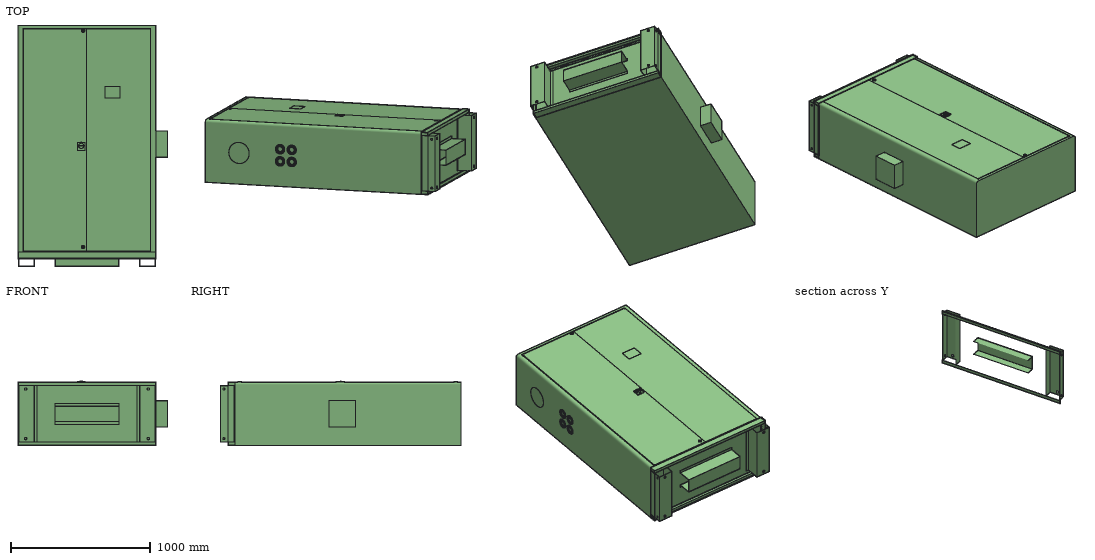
import cadquery as cq


TOTAL_LENGTH = 1727.0
CABINET_WIDTH = 990.0
CABINET_DEPTH = 456.0
FOOT_HEIGHT = 54.0
BASE_HEIGHT = 50.0
HOUSING_Y = FOOT_HEIGHT + BASE_HEIGHT
HALF_WIDTH = CABINET_WIDTH / 2
MID_Z = CABINET_DEPTH / 2
EDGE_RADIUS = 20.0

DOOR_THICKNESS = 20.0
DOOR_GAP = 5.0
LEFT_MARGIN = 35.0
RIGHT_MARGIN = 40.0
TOP_MARGIN = 20.0
OPENING_LEFT = -HALF_WIDTH + LEFT_MARGIN
OPENING_RIGHT = HALF_WIDTH - RIGHT_MARGIN
OPENING_BOTTOM = HOUSING_Y
OPENING_TOP = TOTAL_LENGTH - TOP_MARGIN
DOOR_SPLIT = -2.0
DOOR_LEFT = OPENING_LEFT + DOOR_GAP
DOOR_BOTTOM = OPENING_BOTTOM + DOOR_GAP
DOOR_TOP = OPENING_TOP - DOOR_GAP
DOOR_FLOOR_Z = CABINET_DEPTH - DOOR_THICKNESS

LOCK_X = -28.0
LOCK_END_DISTANCE = 30.0
LOCK_DIAMETER = 25.0
LOCK_HOLE_DIAMETER = 10.0
FITTING_HEIGHT = 3.0
LATCH_X = -41.0
LATCH_Y = 858.0
LATCH_SIZE = 55.0
LATCH_DISC_OFFSET = 5.0
LATCH_DISC_DIAMETER = 52.0
LATCH_DISH_DIAMETER = 38.0
LATCH_DISH_DEPTH = 2.0
LATCH_BAR_WIDTH = 5.0
LATCH_KNOB_LENGTH = 17.0
LATCH_KNOB_HEIGHT = 7.0

WINDOW_WIDTH = 105.0
WINDOW_LENGTH = 83.0
WINDOW_X = 183.0
WINDOW_Y = 1249.0

PANEL_RECESS = 2.0

ENTRY_PITCH = 88.0
ENTRY_Y = 1121.0
ENTRY_DIAMETER = 69.0
ENTRY_STEP_DIAMETER = 55.0
ENTRY_PLUG_DIAMETER = 38.0
ENTRY_STEP_DEPTH = 3.0
ENTRY_GROOVE_DEPTH = 7.0
ROUND_PANEL_DIAMETER = 154.0
ROUND_PANEL_Y = 1473.0

RAIL_DEPTH = 26.0
RAIL_SHEET = 5.0
RAIL_LIP_ROUND = 3.0
END_RECESS = 2.0
FOOT_INSET = 5.0
FOOT_LENGTH = CABINET_DEPTH - 2 * RAIL_DEPTH

SHEET = 2.0

FOOT_WIDTH = 112.0
FOOT_LIP = 19.0
FOOT_OUTER_X = HALF_WIDTH - FOOT_INSET
FOOT_HOLE_DIAMETER = 17.0
FOOT_HOLE_END_DISTANCE = 25.0
FOOT_FRONT_HOLE_INSET = 55.0
FOOT_SIDE_HOLE_DIAMETER = 14.0
FOOT_SIDE_HOLE_Y = 26.0

BRACKET_LENGTH = 458.0
BRACKET_DEPTH = 150.0
BRACKET_FLANGE = 19.0

BOX_WIDTH = 83.0
BOX_SIZE = 190.0
BOX_Y = 875.0


def block(x_range, y_range, z_range):
    """A box between the given pairs of limits."""
    size = [high - low for low, high in (x_range, y_range, z_range)]
    return cq.Workplane("XY").box(*size, centered=False).translate((x_range[0], y_range[0], z_range[0]))


def left_wall_disc(diameter, y, z, depth):
    """A disc that goes from the left side wall into the cabinet."""
    wall = cq.Workplane("YZ", origin=(-HALF_WIDTH, y, z))
    return wall.circle(diameter / 2).extrude(depth)


def cable_entry(y, z):
    """A stepped ring-shaped recess around a plug flush with the wall."""
    step = left_wall_disc(ENTRY_DIAMETER, y, z, ENTRY_STEP_DEPTH)
    groove = left_wall_disc(ENTRY_STEP_DIAMETER, y, z, ENTRY_GROOVE_DEPTH)
    plug = left_wall_disc(ENTRY_PLUG_DIAMETER, y, z, ENTRY_GROOVE_DEPTH)
    return step.union(groove).cut(plug)


def make_housing():
    body = block((-HALF_WIDTH, HALF_WIDTH), (HOUSING_Y, TOTAL_LENGTH), (0, CABINET_DEPTH))
    body = body.edges("|Y and >Z").fillet(EDGE_RADIUS)
    body = body.cut(
        block((OPENING_LEFT, OPENING_RIGHT), (OPENING_BOTTOM, OPENING_TOP), (DOOR_FLOOR_Z, CABINET_DEPTH))
    )
    for y_side in (-1, 1):
        for z_side in (-1, 1):
            entry_y = ENTRY_Y + y_side * ENTRY_PITCH / 2
            entry_z = MID_Z + z_side * ENTRY_PITCH / 2
            body = body.cut(cable_entry(entry_y, entry_z))
    return body.cut(left_wall_disc(ROUND_PANEL_DIAMETER, ROUND_PANEL_Y, MID_Z, PANEL_RECESS))


def door_plate(x_left, x_right):
    return block((x_left, x_right), (DOOR_BOTTOM, DOOR_TOP), (DOOR_FLOOR_Z, CABINET_DEPTH))


def door_face(x, y):
    """A workplane on the outer face of the doors."""
    return cq.Workplane("XY", origin=(x, y, CABINET_DEPTH))


def latch():
    """A square plate and a round disc, dished, with a bar and a small knob across the dish."""
    disc_y = LATCH_Y + LATCH_DISC_OFFSET
    plate = door_face(LATCH_X, LATCH_Y).rect(LATCH_SIZE, LATCH_SIZE).extrude(FITTING_HEIGHT)
    disc = door_face(LATCH_X, disc_y).circle(LATCH_DISC_DIAMETER / 2).extrude(FITTING_HEIGHT)
    dish = door_face(LATCH_X, disc_y).circle(LATCH_DISH_DIAMETER / 2).extrude(LATCH_DISH_DEPTH)
    dish = dish.translate((0, 0, FITTING_HEIGHT - LATCH_DISH_DEPTH))
    bar = door_face(LATCH_X, disc_y).rect(LATCH_DISH_DIAMETER, LATCH_BAR_WIDTH).extrude(FITTING_HEIGHT)
    knob = door_face(LATCH_X, disc_y).rect(LATCH_KNOB_LENGTH, LATCH_BAR_WIDTH).extrude(LATCH_KNOB_HEIGHT)
    return plate.union(disc).cut(dish).union(bar).union(knob)


def make_left_door():
    door = door_plate(DOOR_LEFT, DOOR_SPLIT)
    for lock_y in (DOOR_BOTTOM + LOCK_END_DISTANCE, DOOR_TOP - LOCK_DIAMETER / 2):
        lock = door_face(LOCK_X, lock_y).circle(LOCK_DIAMETER / 2).circle(LOCK_HOLE_DIAMETER / 2)
        door = door.union(lock.extrude(FITTING_HEIGHT))
    return door.union(latch())


def make_right_door():
    door = door_plate(DOOR_SPLIT, OPENING_RIGHT)
    window = door_face(WINDOW_X, WINDOW_Y).rect(WINDOW_WIDTH, WINDOW_LENGTH).extrude(-PANEL_RECESS)
    return door.cut(window)


def make_base():
    """An open frame: two angle rails along X with rounded lips, joined by plates at the ends."""
    base = block((-HALF_WIDTH, HALF_WIDTH), (FOOT_HEIGHT, HOUSING_Y), (0, CABINET_DEPTH))
    inside_x = (-FOOT_OUTER_X, FOOT_OUTER_X)
    between_webs = (RAIL_SHEET, CABINET_DEPTH - RAIL_SHEET)
    base = base.cut(block(inside_x, (FOOT_HEIGHT + RAIL_SHEET, HOUSING_Y), between_webs))
    between_lips = (RAIL_DEPTH, CABINET_DEPTH - RAIL_DEPTH)
    base = base.cut(block(inside_x, (FOOT_HEIGHT, HOUSING_Y), between_lips))
    front_lip_edges = cq.selectors.BoxSelector(
        (-HALF_WIDTH, FOOT_HEIGHT - RAIL_SHEET / 2, RAIL_SHEET),
        (HALF_WIDTH, FOOT_HEIGHT + RAIL_SHEET / 2, CABINET_DEPTH - RAIL_SHEET),
    )
    base = base.edges("|X").edges(front_lip_edges).fillet(RAIL_LIP_ROUND)
    recess_y = (FOOT_HEIGHT, HOUSING_Y - RAIL_SHEET)
    for end_x in ((-HALF_WIDTH, -HALF_WIDTH + END_RECESS), (HALF_WIDTH - END_RECESS, HALF_WIDTH)):
        base = base.cut(block(end_x, recess_y, between_lips))
    return base


def make_foot(side):
    """A bent sheet: tall outer wall, sole, inner wall and a lip against the housing."""
    outer = FOOT_OUTER_X
    inner = outer - FOOT_WIDTH
    outline = [
        (outer, 0),
        (outer, HOUSING_Y),
        (outer - SHEET, HOUSING_Y),
        (outer - SHEET, SHEET),
        (inner + SHEET, SHEET),
        (inner + SHEET, HOUSING_Y),
        (inner - FOOT_LIP, HOUSING_Y),
        (inner - FOOT_LIP, HOUSING_Y - SHEET),
        (inner, HOUSING_Y - SHEET),
        (inner, 0),
    ]
    profile = cq.Workplane("XY", origin=(0, 0, RAIL_DEPTH))
    foot = profile.polyline([(side * x, y) for x, y in outline]).close().extrude(FOOT_LENGTH)
    for z in (RAIL_DEPTH + FOOT_HOLE_END_DISTANCE, CABINET_DEPTH - RAIL_DEPTH - FOOT_HOLE_END_DISTANCE):
        sole_hole = cq.Workplane("XZ", origin=(side * (HALF_WIDTH - FOOT_FRONT_HOLE_INSET), SHEET, z))
        foot = foot.cut(sole_hole.circle(FOOT_HOLE_DIAMETER / 2).extrude(SHEET))
        wall_hole = cq.Workplane("YZ", origin=(side * outer, FOOT_SIDE_HOLE_Y, z))
        foot = foot.cut(wall_hole.circle(FOOT_SIDE_HOLE_DIAMETER / 2).extrude(-side * SHEET))
    return foot


def make_bracket():
    """A hat section whose flanges lie against the housing."""
    half_depth = BRACKET_DEPTH / 2
    crown = half_depth - BRACKET_FLANGE
    half_outline = [
        (0, crown),
        (HOUSING_Y - SHEET, crown),
        (HOUSING_Y - SHEET, half_depth),
        (HOUSING_Y, half_depth),
        (HOUSING_Y, crown - SHEET),
        (SHEET, crown - SHEET),
    ]
    outline = half_outline + [(y, -z) for y, z in reversed(half_outline)]
    profile = cq.Workplane("YZ", origin=(-BRACKET_LENGTH / 2, 0, MID_Z))
    return profile.polyline(outline).close().extrude(BRACKET_LENGTH)


def make_side_box():
    wall = cq.Workplane("YZ", origin=(HALF_WIDTH, BOX_Y, MID_Z))
    return wall.rect(BOX_SIZE, BOX_SIZE).extrude(BOX_WIDTH)


housing = make_housing()
left_door = make_left_door()
right_door = make_right_door()
base = make_base()
feet = [make_foot(side) for side in (-1, 1)]
bracket = make_bracket()
side_box = make_side_box()

result = cq.Compound.makeCompound(
    [
        housing.val(),
        left_door.val(),
        right_door.val(),
        base.val(),
        *[foot.val() for foot in feet],
        bracket.val(),
        side_box.val(),
    ]
)